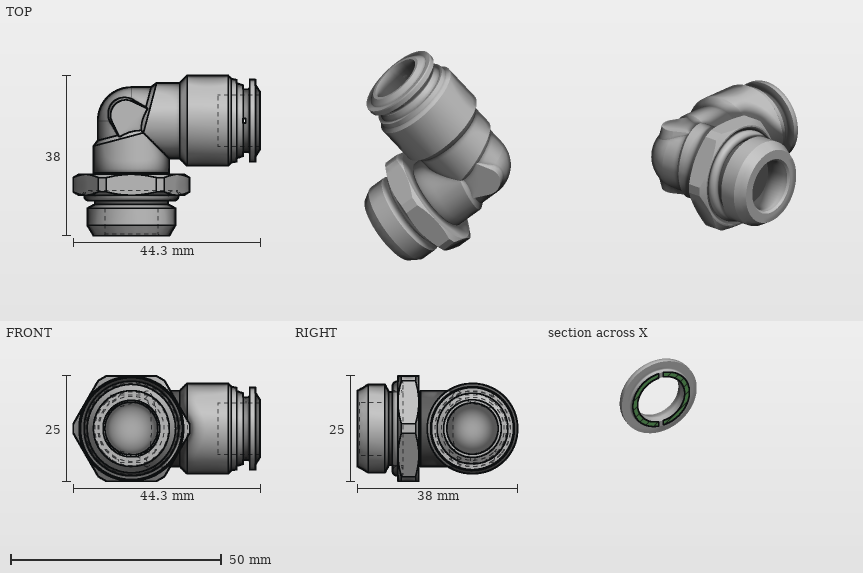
import cadquery as cq
import math


bend_radius = 8.0
leg_radius = 9.0
leg_tilt = 15.0
leg_edge_chamfer = 1.2
leg_mitre = 2.83

pad_height = 8.0
pad_draft = 14.0
pad_arc_offset = 1.31
pad_arc_radius = 3.62
pad_side_angle = 25.8
pad_reach = 5.0
pad_inner_corner = 3.2

stud_end = -27.29
bore_radius = 6.27
bore_entry_radius = 6.73
bore_depth = 6.5
thread_radius = 10.48
thread_tip_radius = 9.0
thread_tip_length = 2.53
thread_top = stud_end + 6.53
runout_top = stud_end + 7.47
neck_radius = 8.73

hex_face = stud_end + 9.6
hex_thickness = 5.0
hex_top = hex_face + hex_thickness
hex_flats = 25.0
hex_corner_distance = 13.8
hex_chamfer_radius = 12.43
hex_chamfer_angle = 30.0

ring_section_radius = 1.25
ring_centre_radius = neck_radius + ring_section_radius
ring_centre_y = hex_face - 0.07
recess_mouth_radius = 12.07
recess_floor = ring_centre_y + ring_section_radius

joint_radius = 7.73
shank_end = hex_top + 0.13
shank_chamfer = 0.25

barrel_radius = 10.75
barrel_shoulder_start = 11.47
barrel_start = barrel_shoulder_start + barrel_radius - leg_radius
barrel_end = 22.93
cap_start = 23.73
cap_start_radius = 9.95
cap_step = 24.95
cap_step_outer_radius = 9.73
cap_step_inner_radius = 8.93
cap_end = 26.53
cap_end_radius = 8.43

sleeve_radius = 7.47
flange_start = 28.07
flange_end = 29.5
flange_radius = 9.8
flange_edge_chamfer = 0.3
flange_edge_drop = 0.07
sleeve_fillet = 0.4
nose_radius = 8.4
tip_radius = 6.85
tube_end = 30.51
tube_bore_radius = 6.1
tube_bore_depth = 10.0
slit_width = 1.0
slit_end = 27.07


def turned_about_x(points):
    """Solid of revolution about X from (x, radius) points; the outline closes along the axis."""
    return cq.Workplane("XY").polyline(points).close().revolve(360, (0, 0, 0), (1, 0, 0))


def turned_about_y(points):
    """Solid of revolution about Y from (radius, y) points; the outline closes along the axis."""
    return cq.Workplane("XY").polyline(points).close().revolve(360, (0, 0, 0), (0, 1, 0))


def mirrored_across_bend(body):
    """Swap the tube leg's side of the bend for the stud leg's side."""
    return body.rotate((0, 0, 0), (1, -1, 0), 180)


def tilted_leg(end):
    """Cylinder along X to `end`, starting on a tilted plane with a chamfered rim."""
    slope = math.tan(math.radians(leg_tilt))
    top_x = leg_mitre + (leg_radius + leg_mitre) * slope - leg_edge_chamfer
    bottom_x = leg_mitre - (leg_radius - leg_mitre) * slope - leg_edge_chamfer
    side = (
        cq.Workplane("XY")
        .polyline([(bottom_x, -leg_radius), (end, -leg_radius), (end, leg_radius), (top_x, leg_radius)])
        .close()
        .extrude(leg_radius, both=True)
    )
    round_bar = cq.Workplane("YZ").circle(leg_radius).extrude(2 * end, both=True)
    return round_bar.intersect(side).edges("<X").chamfer(leg_edge_chamfer)


def make_bend():
    bend = cq.Workplane("XY").sphere(bend_radius)
    bend = bend.union(cq.Workplane("YZ").circle(bend_radius).extrude(barrel_start))
    bend = bend.union(cq.Workplane("XZ").circle(bend_radius).extrude(-shank_end))
    return bend


def make_pad():
    """Drafted pad, symmetric about the bend's diagonal, from the mid-plane up."""
    angle = math.radians(pad_side_angle)
    normal_x, normal_y = math.sin(angle), math.cos(angle)
    tangent_x = -pad_arc_offset + pad_arc_radius * normal_x
    tangent_y = pad_arc_offset + pad_arc_radius * normal_y
    side_y = tangent_y - (pad_reach - tangent_x) * math.tan(angle)
    arc_crown = pad_arc_offset + pad_arc_radius / math.sqrt(2)
    return (
        cq.Workplane("XY", origin=(0, 0, pad_height))
        .moveTo(pad_reach, side_y)
        .lineTo(tangent_x, tangent_y)
        .threePointArc((-arc_crown, arc_crown), (-tangent_y, -tangent_x))
        .lineTo(-side_y, -pad_reach)
        .lineTo(pad_inner_corner, -pad_inner_corner)
        .close()
        .extrude(-pad_height, taper=-pad_draft)
    )


def make_barrel():
    return turned_about_x([
        (barrel_shoulder_start, 0),
        (barrel_shoulder_start, leg_radius),
        (barrel_start, barrel_radius),
        (barrel_end, barrel_radius),
        (cap_start, cap_start_radius),
        (cap_step, cap_step_outer_radius),
        (cap_step, cap_step_inner_radius),
        (cap_end, cap_end_radius),
        (cap_end, 0),
    ])


def make_sleeve():
    return (
        cq.Workplane("XY")
        .moveTo(cap_end, 0)
        .lineTo(cap_end, sleeve_radius)
        .lineTo(flange_start - sleeve_fillet, sleeve_radius)
        .radiusArc((flange_start, sleeve_radius + sleeve_fillet), -sleeve_fillet)
        .lineTo(flange_start, flange_radius)
        .lineTo(flange_end - flange_edge_chamfer, flange_radius)
        .lineTo(flange_end, flange_radius - flange_edge_drop)
        .lineTo(flange_end, nose_radius)
        .lineTo(tube_end, tip_radius)
        .lineTo(tube_end, 0)
        .close()
        .revolve(360, (0, 0, 0), (1, 0, 0))
    )


def make_tube_port():
    """Blind tube bore and the slit that crosses the sleeve along Z."""
    port_floor = tube_end - tube_bore_depth
    bore = cq.Workplane("YZ", origin=(port_floor, 0, 0)).circle(tube_bore_radius).extrude(tube_bore_depth)
    slit_length = slit_end - cap_end
    slit = cq.Workplane("XY").box(slit_length, slit_width, 2 * barrel_radius)
    return bore.union(slit.translate((cap_end + slit_length / 2, 0, 0)))


def make_hexagon():
    """Hexagon with flats facing +Z and -Z, flattened corners and chamfered faces."""

    def prism(flats, turn):
        return (
            cq.Workplane("XZ", origin=(0, hex_top, 0))
            .polygon(6, flats / math.cos(math.pi / 6))
            .extrude(hex_thickness)
            .rotate((0, 0, 0), (0, 1, 0), turn)
        )

    rim_radius = hex_flats / math.sqrt(3)
    rim_drop = (rim_radius - hex_chamfer_radius) * math.tan(math.radians(hex_chamfer_angle))
    envelope = turned_about_y([
        (0, hex_face),
        (hex_chamfer_radius, hex_face),
        (rim_radius, hex_face + rim_drop),
        (rim_radius, hex_top - rim_drop),
        (hex_chamfer_radius, hex_top),
        (0, hex_top),
    ])
    return prism(hex_flats, 0).intersect(prism(2 * hex_corner_distance, 30)).intersect(envelope)


def make_ring_recess():
    """Recess in the hexagon's face: 45-degree wall, flat floor that the ring touches."""
    floor_radius = recess_mouth_radius - (recess_floor - hex_face)
    return turned_about_y([
        (neck_radius, hex_face),
        (recess_mouth_radius, hex_face),
        (floor_radius, recess_floor),
        (neck_radius, recess_floor),
    ])


def make_stud():
    return turned_about_y([
        (0, stud_end),
        (thread_tip_radius, stud_end),
        (thread_radius, stud_end + thread_tip_length),
        (thread_radius, thread_top),
        (neck_radius, runout_top),
        (neck_radius, hex_face),
        (0, hex_face),
    ])


def make_stud_bore():
    entry_depth = bore_entry_radius - bore_radius
    return turned_about_y([
        (0, stud_end),
        (bore_entry_radius, stud_end),
        (bore_radius, stud_end + entry_depth),
        (bore_radius, stud_end + bore_depth),
        (0, stud_end + bore_depth),
    ])


def make_fitting():
    tube_leg = tilted_leg(barrel_shoulder_start)
    stud_leg = mirrored_across_bend(tilted_leg(-shank_end).faces(">X").edges().chamfer(shank_chamfer))
    joint = cq.Workplane("XZ", origin=(0, shank_end, 0)).circle(joint_radius).extrude(shank_end - hex_top)
    pad = make_pad()
    fitting = make_bend().union(tube_leg).union(stud_leg)
    fitting = fitting.union(pad).union(pad.mirror("XY"))
    fitting = fitting.union(make_barrel()).union(make_sleeve()).cut(make_tube_port())
    fitting = fitting.union(joint).union(make_hexagon().cut(make_ring_recess()))
    return fitting.union(make_stud()).cut(make_stud_bore())


def make_seal_ring():
    return (
        cq.Workplane("XY")
        .center(ring_centre_radius, ring_centre_y)
        .circle(ring_section_radius)
        .revolve(360, (-ring_centre_radius, 0, 0), (-ring_centre_radius, 1, 0))
    )


fitting = make_fitting()
seal_ring = make_seal_ring()

result = cq.Compound.makeCompound([fitting.val(), seal_ring.val()])